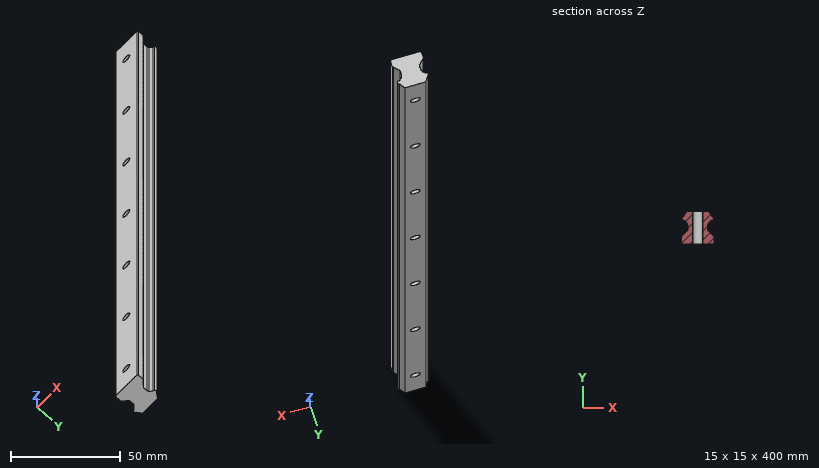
import cadquery as cq

width = 15.0
height = 15.0
length = 400.0

base_chamfer = 0.5
base_height = 3.85
base_shoulder = 0.4
waist_half_width = 4.6
waist_top = 8.6
neck_half_width = 5.0
neck_top = 9.6
underside_rise = 1.2
lip_half_width = 7.25
lip_bottom = 10.95
head_widest = 12.25
crown_half_width = 6.8
crown_bottom = 12.4
top_half_width = 5.0

hole_diameter = 4.5
hole_pitch = 60.0
hole_count = 7


def make_rail():
    half_width = width / 2
    shoulder_half_width = half_width - base_shoulder
    waist_bottom = base_height + shoulder_half_width - waist_half_width
    right_side = [
        (half_width - base_chamfer, 0),
        (half_width, base_chamfer),
        (half_width, base_height),
        (shoulder_half_width, base_height),
        (waist_half_width, waist_bottom),
        (waist_half_width, waist_top),
        (neck_half_width, neck_top),
        (neck_half_width + underside_rise, neck_top + underside_rise),
        (lip_half_width, lip_bottom),
        (half_width, head_widest),
        (crown_half_width, crown_bottom),
        (top_half_width, height),
    ]
    left_side = [(-x, y) for x, y in reversed(right_side)]
    profile = cq.Workplane("XY").polyline(right_side + left_side).close()
    return profile.extrude(length).translate((0, -height / 2, -length / 2))


def make_mounting_holes():
    lowest_hole = -(hole_count - 1) / 2 * hole_pitch
    centers = [(0, lowest_hole + index * hole_pitch) for index in range(hole_count)]
    circles = cq.Workplane("XZ").pushPoints(centers).circle(hole_diameter / 2)
    return circles.extrude(height, both=True)


result = make_rail().cut(make_mounting_holes())